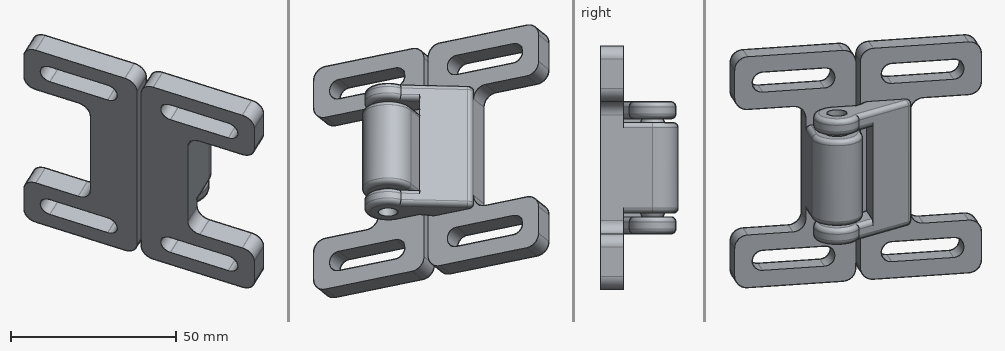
import cadquery as cq
import math

plate_width = 37.45
plate_height = 73.7
plate_thickness = 7.0
plate_gap = 1.4
plate_corner_radius = 4.0
web_width = 15.45
web_height = 40.0
flange_height = (plate_height - web_height) / 2
inner_edge_x = plate_gap / 2
web_edge_x = inner_edge_x + web_width

slot_length = 25.5
slot_height = 6.35
slot_margin = 6.5
slot_center_x = inner_edge_x + slot_margin + slot_length / 2
slot_center_z = (plate_height - flange_height) / 2

hinge_depth = 23.5
knuckle_radius = web_width / 2
knuckle_round = 1.55
axis_x = inner_edge_x + knuckle_radius
axis_y = hinge_depth - knuckle_radius

eye_radius = 7.05
arm_thickness = 5.2
arm_round = 1.55
heel_round = 2.0
back_angle = math.radians(30)
undercut_angle = math.radians(40)
arm_gap = 1.1
arm_inner_z = web_height / 2 - arm_thickness
arm_middle_z = web_height / 2 - arm_thickness / 2
knuckle_length = 2 * (arm_inner_z - arm_gap)
bridge_wall_x = -2.6

root_depth = 2.0
root_y = plate_thickness - root_depth

ball_radius = 3.7
ball_center_z = 12.95
pivot_hole_radius = 3.0


def box_between(low, high):
    """Box between two opposite corners."""
    size = [b - a for a, b in zip(low, high)]
    return cq.Workplane("XY").box(*size, centered=False).translate(low)


def eye_point(angle):
    """Point on the arm's eye at an angle from +X about the hinge axis."""
    return axis_x + eye_radius * math.cos(angle), axis_y + eye_radius * math.sin(angle)


back_top = eye_point(math.pi - back_angle)
heel = (-web_edge_x, back_top[1] - (back_top[0] + web_edge_x) * math.tan(back_angle))


def make_plate(side):
    """C-shaped plate with two slots: side -1 is the left leaf, +1 the right leaf."""
    blank = (
        cq.Workplane("XZ")
        .center(side * (inner_edge_x + plate_width / 2), 0)
        .rect(plate_width, plate_height)
        .extrude(-plate_thickness)
    )
    notch = (
        cq.Workplane("XZ")
        .center(side * (web_edge_x + plate_width / 2), 0)
        .rect(plate_width, web_height)
        .extrude(-plate_thickness)
    )
    slots = (
        cq.Workplane("XZ")
        .pushPoints([(side * slot_center_x, z) for z in (-slot_center_z, slot_center_z)])
        .slot2D(slot_length, slot_height)
        .extrude(-plate_thickness)
    )
    return blank.cut(notch).edges("|Y").fillet(plate_corner_radius).cut(slots)


def make_arm_prism(z_bottom, z_top):
    """Arm side shape, with its root sunk into the plate and its heel rounded."""
    eye_bottom = eye_point(-math.pi / 2)
    undercut_x = -inner_edge_x + (eye_bottom[1] - plate_thickness) / math.tan(undercut_angle)
    root_x = -inner_edge_x - root_depth / math.tan(undercut_angle)
    prism = (
        cq.Workplane("XY")
        .workplane(offset=z_bottom)
        .moveTo(-web_edge_x, root_y)
        .lineTo(*heel)
        .lineTo(*back_top)
        .threePointArc(eye_point(math.pi / 4), eye_point(0))
        .threePointArc(eye_point(-math.pi / 4), eye_bottom)
        .lineTo(undercut_x, eye_bottom[1])
        .lineTo(root_x, root_y)
        .close()
        .extrude(z_top - z_bottom)
    )
    heel_edge = cq.selectors.NearestToPointSelector((*heel, (z_bottom + z_top) / 2))
    return prism.edges("|Z").edges(heel_edge).fillet(heel_round)


def make_arm():
    """Upper arm, rounded all along its two side faces."""
    prism = make_arm_prism(arm_inner_z, web_height / 2)
    return prism.faces("|Z").edges("not <Y").fillet(arm_round)


def make_bridge():
    """Wedge between the arms, cut off short of the knuckle by a wall normal to X."""
    behind_wall = box_between(
        (-web_edge_x, root_y, -arm_middle_z),
        (bridge_wall_x, hinge_depth, arm_middle_z),
    )
    return make_arm_prism(-arm_middle_z, arm_middle_z).intersect(behind_wall)


def make_ball(side):
    """Ball pivot at the upper (+1) or lower (-1) end of the knuckle."""
    return cq.Workplane("XY").sphere(ball_radius).translate((axis_x, axis_y, side * ball_center_z))


def make_arm_leaf():
    """Left leaf: plate, bridge and two arms with a pivot hole and ball seat in each."""
    arm = make_arm()
    leaf = make_plate(-1).union(make_bridge()).union(arm).union(arm.mirror("XY"))
    pivot_hole = (
        cq.Workplane("XY")
        .center(axis_x, axis_y)
        .circle(pivot_hole_radius)
        .extrude(web_height / 2, both=True)
    )
    leaf = leaf.cut(pivot_hole)
    for side in (-1, 1):
        leaf = leaf.cut(make_ball(side))
    return leaf


def make_knuckle_leaf():
    """Right leaf: plate and round-topped knuckle with a ball pivot on each end."""
    knuckle = (
        cq.Workplane("XY")
        .workplane(offset=-knuckle_length / 2)
        .moveTo(inner_edge_x, root_y)
        .lineTo(inner_edge_x, axis_y)
        .threePointArc((axis_x, hinge_depth), (web_edge_x, axis_y))
        .lineTo(web_edge_x, root_y)
        .close()
        .extrude(knuckle_length)
        .faces("|Z")
        .edges("not <Y")
        .fillet(knuckle_round)
    )
    leaf = make_plate(1).union(knuckle)
    for side in (-1, 1):
        leaf = leaf.union(make_ball(side))
    return leaf


arm_leaf = make_arm_leaf()
knuckle_leaf = make_knuckle_leaf()

result = cq.Compound.makeCompound([arm_leaf.solids().val(), knuckle_leaf.solids().val()])